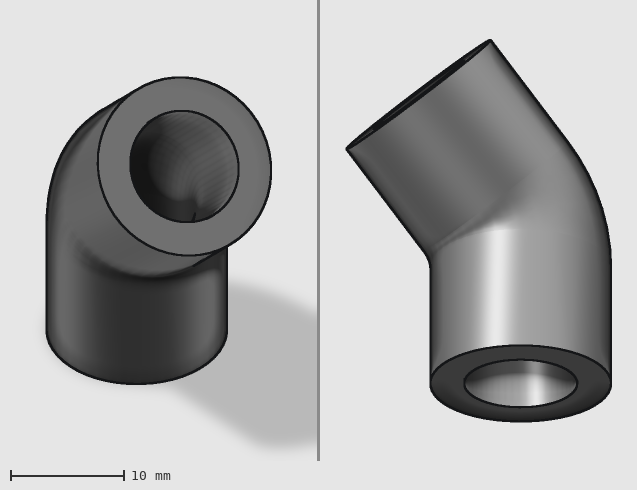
import cadquery as cq
import math

total_height = 31.25
outer_diameter = 16.0
bore_diameter = 10.0
bend_radius = 8.88
bend_angle = 45.0

angle = math.radians(bend_angle)
outer_bend_radius = bend_radius + outer_diameter / 2
leg_length = (total_height - outer_bend_radius * math.sin(angle)) / (1 + math.cos(angle))

bend_start = (0, leg_length)


def bend_point(turn):
    """Point on the centreline after turning through an angle in radians."""
    return (
        bend_radius * (1 - math.cos(turn)),
        leg_length + bend_radius * math.sin(turn),
    )


bend_end = bend_point(angle)
leg_end = (
    bend_end[0] + leg_length * math.sin(angle),
    bend_end[1] + leg_length * math.cos(angle),
)
centreline = (
    cq.Workplane("XZ")
    .lineTo(*bend_start)
    .threePointArc(bend_point(angle / 2), bend_end)
    .lineTo(*leg_end)
)

result = (
    cq.Workplane("XY")
    .circle(outer_diameter / 2)
    .circle(bore_diameter / 2)
    .sweep(centreline)
)